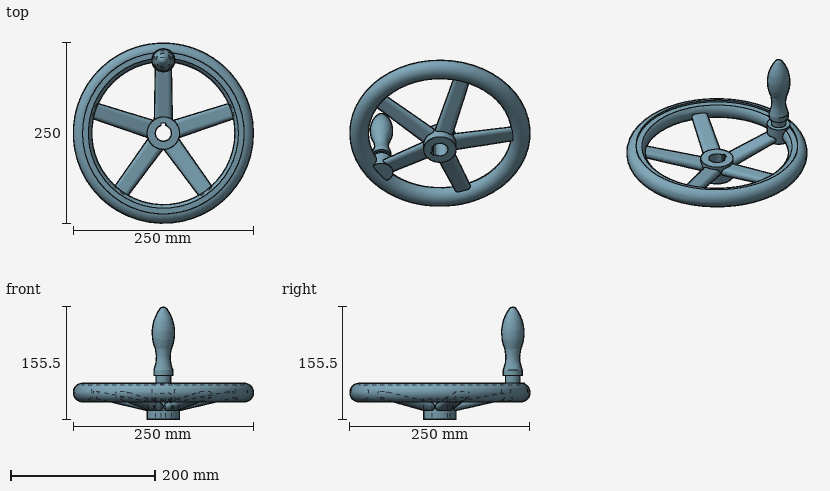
import cadquery as cq
import math

WHEEL_RADIUS = 125.0
RIM_SECTION_RADIUS = 13.0
RIM_CENTER_RADIUS = WHEEL_RADIUS - RIM_SECTION_RADIUS
RIM_CENTER_Z = 37.0
RECESS_FLOOR_Z = 47.2

HUB_RADIUS = 22.5
HUB_HEIGHT = 28.0
BORE_RADIUS = 11.0
KEYWAY_WIDTH = 6.0
KEYWAY_TOP_Y = 13.8

SPOKE_COUNT = 5
SPOKE_FLAT_WIDTH = 13.2
SPOKE_START_RADIUS = 15.0
SPOKE_START_THICKNESS = 12.2
SPOKE_START_Z = 16.5
SPOKE_END_RADIUS = 105.0
SPOKE_END_THICKNESS = 9.0
SPOKE_END_Z = 35.2

HANDLE_Y = 101.0
BOSS_RADIUS = 16.0
BOSS_BOTTOM_Z = 26.0
BOSS_TOP_Z = RIM_CENTER_Z + RIM_SECTION_RADIUS
STEM_RADIUS = 10.2
COLLAR_RADIUS = 13.2
COLLAR_BOTTOM_Z = 60.5
COLLAR_TOP_Z = 68.2
WAIST_RADIUS = 9.8
WAIST_Z = 84.0
GRIP_BASE_RADIUS = 11.2
GRIP_BASE_Z = 97.8
GRIP_MAX_RADIUS = 15.8
GRIP_MAX_Z = 120.0
TIP_RADIUS = 4.8
TIP_START_Z = 153.2
HANDLE_TOP_Z = 155.5


def make_rim():
    ring = (
        cq.Workplane("XZ")
        .center(RIM_CENTER_RADIUS, RIM_CENTER_Z)
        .circle(RIM_SECTION_RADIUS)
        .revolve(360, (-RIM_CENTER_RADIUS, 0), (-RIM_CENTER_RADIUS, 1))
    )
    recess = (
        cq.Workplane("XY", origin=(0, 0, RECESS_FLOOR_Z))
        .circle(RIM_CENTER_RADIUS)
        .extrude(RIM_SECTION_RADIUS)
    )
    return ring.cut(recess)


def make_spoke(angle):
    """Spoke along +Y, turned by angle degrees about the wheel axis."""
    rise = SPOKE_END_Z - SPOKE_START_Z
    length = SPOKE_END_RADIUS - SPOKE_START_RADIUS
    spoke = (
        cq.Workplane("XZ", origin=(0, SPOKE_START_RADIUS, SPOKE_START_Z))
        .slot2D(SPOKE_FLAT_WIDTH + SPOKE_START_THICKNESS, SPOKE_START_THICKNESS)
        .workplane(offset=-length)
        .center(0, rise)
        .slot2D(SPOKE_FLAT_WIDTH + SPOKE_END_THICKNESS, SPOKE_END_THICKNESS)
        .loft(ruled=True)
    )
    return spoke.rotate((0, 0, 0), (0, 0, 1), angle)


def make_boss():
    return (
        cq.Workplane("XY", origin=(0, HANDLE_Y, BOSS_BOTTOM_Z))
        .circle(BOSS_RADIUS)
        .extrude(BOSS_TOP_Z - BOSS_BOTTOM_Z)
    )


def make_handle():
    """Turned handle; the rounded cap at the tip is a spherical segment."""
    cap_height = HANDLE_TOP_Z - TIP_START_Z
    cap_sphere_radius = (TIP_RADIUS**2 + cap_height**2) / (2 * cap_height)
    cap_mid_angle = math.asin(TIP_RADIUS / cap_sphere_radius) / 2
    cap_mid = (
        cap_sphere_radius * math.sin(cap_mid_angle),
        HANDLE_TOP_Z - cap_sphere_radius * (1 - math.cos(cap_mid_angle)),
    )
    profile = (
        cq.Workplane("XZ")
        .moveTo(0, BOSS_BOTTOM_Z)
        .lineTo(STEM_RADIUS, BOSS_BOTTOM_Z)
        .lineTo(STEM_RADIUS, COLLAR_BOTTOM_Z)
        .lineTo(COLLAR_RADIUS, COLLAR_BOTTOM_Z)
        .lineTo(COLLAR_RADIUS, COLLAR_TOP_Z)
        .spline(
            [(WAIST_RADIUS, WAIST_Z), (GRIP_BASE_RADIUS, GRIP_BASE_Z)],
            includeCurrent=True,
        )
        .threePointArc((GRIP_MAX_RADIUS, GRIP_MAX_Z), (TIP_RADIUS, TIP_START_Z))
        .threePointArc(cap_mid, (0, HANDLE_TOP_Z))
        .close()
    )
    return profile.revolve(360, (0, 0), (0, 1)).translate((0, HANDLE_Y, 0))


def make_bore():
    bore = cq.Workplane("XY").circle(BORE_RADIUS).extrude(HUB_HEIGHT)
    keyway = (
        cq.Workplane("XY")
        .center(0, KEYWAY_TOP_Y / 2)
        .rect(KEYWAY_WIDTH, KEYWAY_TOP_Y)
        .extrude(HUB_HEIGHT)
    )
    return bore.union(keyway)


hub = cq.Workplane("XY").circle(HUB_RADIUS).extrude(HUB_HEIGHT)
wheel = make_rim().union(hub)
for index in range(SPOKE_COUNT):
    wheel = wheel.union(make_spoke(index * 360 / SPOKE_COUNT))

result = wheel.union(make_boss()).union(make_handle()).cut(make_bore())